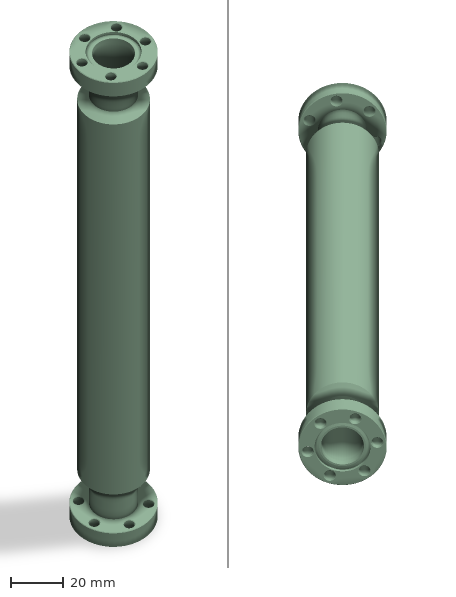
import cadquery as cq

total_length = 250.0

flange_radius = 17.0
flange_thickness = 7.8
edge_chamfer = 0.2
bolt_count = 6
bolt_circle_radius = 13.5
bolt_hole_diameter = 4.2
top_bolt_angle = -2.4
bottom_bolt_angle = -31.3

recess_radius = 10.8
recess_depth = 1.5
knife_edge_radius = 9.0
knife_edge_depth = 1.0

tube_radius = 9.5
bore_radius = 8.2
tube_end_inset = 4.5

sleeve_radius = 14.0
sleeve_end_inset = 23.0
cone_height = 2.5


def revolve_profile(points):
    """Revolve a closed (radius, height) outline about the Z axis."""
    return cq.Workplane("XZ").polyline(points).close().revolve(360, (0, 0), (0, 1))


def make_bolt_hole_cutter():
    """Bolt hole on the +X axis, widened by a chamfer at both ends."""
    hole_radius = bolt_hole_diameter / 2
    mouth_radius = hole_radius + edge_chamfer
    profile = [
        (0, 0),
        (mouth_radius, 0),
        (hole_radius, -edge_chamfer),
        (hole_radius, -flange_thickness + edge_chamfer),
        (mouth_radius, -flange_thickness),
        (0, -flange_thickness),
    ]
    return revolve_profile(profile).translate((bolt_circle_radius, 0, 0))


def make_flange(bolt_angle):
    """Flange with its outer face at Z = 0, facing up, and its body below."""
    body = revolve_profile([
        (bore_radius, -knife_edge_depth),
        (knife_edge_radius, -knife_edge_depth),
        (recess_radius, -recess_depth),
        (recess_radius, 0),
        (flange_radius - edge_chamfer, 0),
        (flange_radius, -edge_chamfer),
        (flange_radius, -flange_thickness + edge_chamfer),
        (flange_radius - edge_chamfer, -flange_thickness),
        (tube_radius, -flange_thickness),
        (tube_radius, -tube_end_inset),
        (bore_radius, -tube_end_inset),
    ])
    bolt_hole = make_bolt_hole_cutter()
    for index in range(bolt_count):
        angle = bolt_angle + index * 360 / bolt_count
        body = body.cut(bolt_hole.rotate((0, 0, 0), (0, 0, 1), angle))
    return body


def make_tube():
    """Plain tube that ends inside the two flange sockets."""
    return (
        cq.Workplane("XY", origin=(0, 0, tube_end_inset))
        .circle(tube_radius)
        .circle(bore_radius)
        .extrude(total_length - 2 * tube_end_inset)
    )


def make_sleeve():
    """Thick sleeve, fitted on the tube, that tapers down to it at both ends."""
    bottom = sleeve_end_inset
    top = total_length - sleeve_end_inset
    return revolve_profile([
        (tube_radius, bottom),
        (sleeve_radius, bottom + cone_height),
        (sleeve_radius, top - cone_height),
        (tube_radius, top),
    ])


top_flange = make_flange(top_bolt_angle).translate((0, 0, total_length))
bottom_flange = make_flange(-bottom_bolt_angle).rotate((0, 0, 0), (1, 0, 0), 180)
tube = make_tube()
sleeve = make_sleeve()

result = cq.Compound.makeCompound([
    top_flange.val(),
    bottom_flange.val(),
    tube.val(),
    sleeve.val(),
])